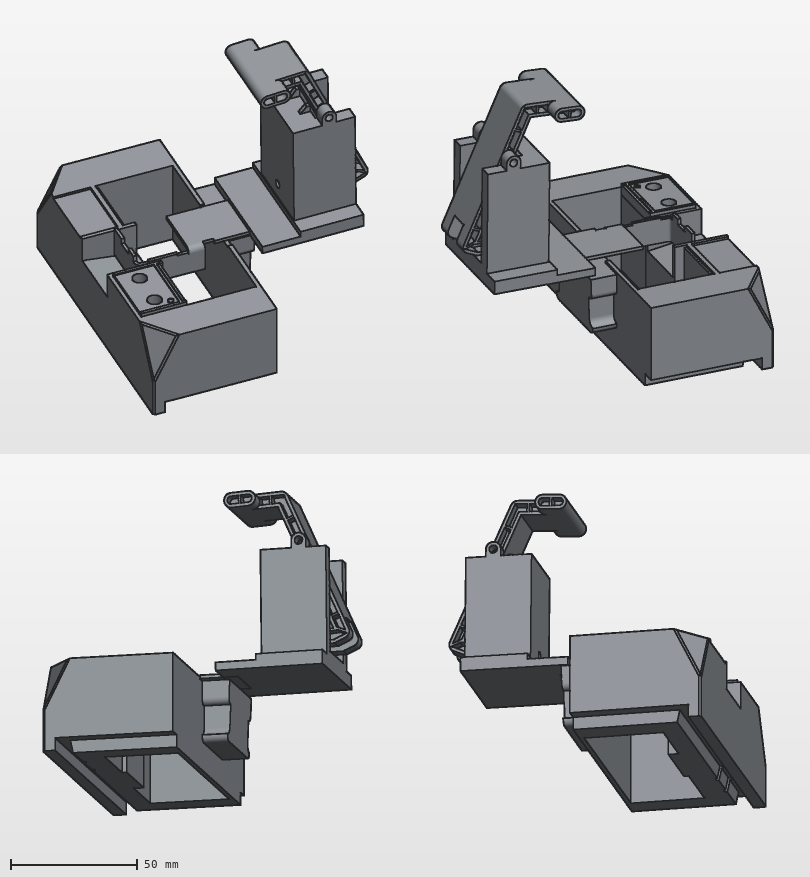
import cadquery as cq
import math


base_length = 118.0
base_depth = 53.1
base_height = 37.0
window_left = -41.7
window_right = 42.6
window_back = base_depth - 1.9
left_block_depth = 19.1
right_block_depth = 21.4
centre_block_depth = 23.2

bevel_along_x = {-1: 14.4, 1: 13.2}
bevel_along_y = 10.5
bevel_along_z = 20.9
corner_chamfer = 0.8
bevel_edge_chamfer = 0.6

foot_height = 5.1
front_wall = 5.1
foot_front = 9.9
foot_taper = 1.1
foot_side_inset = 5.9

notch_half_width = 12.4
notch_wall = 1.8
notch_outer = notch_half_width + notch_wall
notch_lip = 1.8
notch_floor = 26.0
notch_floor_drop = 3.0

seat_floor = 36.1
seat_front = 1.8
empty_seat_depth = 15.9
empty_seat_wall = 2.1
rear_gap_floor = 36.2

connector_left = -25.4
connector_right = 10.6
connector_bottom = 11.7
connector_reach_top = 11.2
connector_reach_bottom = 10.3
connector_waist_inset = 3.2
flange_bottom = 26.8
flange_fillet = 2.5
waist_bottom = 17.6
foot_flare = 3.2
connector_bottom_fillet = 3.0

pad_seat_floor = 33.6
pad_top = 38.6
pad_rim = 1.3
pad_pocket_depth = 0.5
pad_pocket_back = 18.8
pad_ledge_front = 20.1
screw_hole_x = (20.9, 35.9)
screw_hole_y = 10.4
screw_hole_diameter = 3.2
screw_head_diameter = 6.0
mark_x = 38.7
mark_y = 16.2
mark_diameter = 2.5
mark_depth = 0.5

sheet_thickness = 1.4
sheet_top = 38.6
sheet_half_width = 11.0
sheet_front = 35.4
sheet_seat_depth = 5.9
sheet_bend_radius = 2.5
flange_outer = 11.9
flange_back = 42.4
relief_back = 46.8
leg_bottom = 26.5
leg_top = 36.8
leg_tab_start = 18.3
leg_tab_end = 30.6
leg_tab_rise = 0.8
tab_front = 12.9
tab_left = -10.5
tab_right = 8.6
tab_top = 39.5
tab_gap_half_width = 3.4
tab_gap_floor = 37.2

lean_angle = 0.6
plate_half_width = 24.1
plate_front = 61.8
plate_back = 105.4
plate_bottom = 37.0
plate_step = 78.2
plate_thin_top = 40.4
plate_top = 42.7
tower_half_width = 16.5
tower_front = 78.7
tower_top = 86.6
slot_half_width = 10.9
slot_front = 90.6
slot_floor = 44.8
pivot_y = 94.3
pivot_z = 89.6
pivot_boss_diameter = 6.0
pivot_hole_diameter = 3.2
peephole_z = 49.2
peephole_diameter = 2.5
peephole_mouth_diameter = 3.5
peephole_mouth_depth = 1.2
stop_x = 5.3
stop_thickness = 1.9
stop_back = 90.5
stop_crest = 1.5
stop_length = 4.4
stop_heights = {-stop_x: 3.8, stop_x: 2.8}

lever_half_width = 10.5
limb_angle = 23.6
limb_thickness = 5.5
limb_length = 43.0
heel_radius = 2.8
arm_angle = 3.0
arm_thickness = 6.0
elbow_radius = 3.1
grip_half_width = 17.9
grip_front_y = 67.5
grip_front_z = 107.1
grip_spacing = 6.7
lever_foot_bottom = 48.3
lever_foot_top = 54.3
lever_foot_front = 99.1
lever_wall = 1.4
lever_rib = 1.0
lever_pocket_depth = 4.7
upper_rib = 11.6
lower_rib = 32.5
arm_rib_from_grip = 14.2
heel_notch_half_width = 4.4
heel_notch_top = 59.7


def box(x_range, y_range, z_range):
    """Box between two limits along each axis."""
    size = [high - low for low, high in (x_range, y_range, z_range)]
    corner = (x_range[0], y_range[0], z_range[0])
    return cq.Workplane(cq.Solid.makeBox(*size, cq.Vector(*corner)))


def vertical_cylinder(x, y, diameter, z_range):
    """Upright cylinder between two heights."""
    height = z_range[1] - z_range[0]
    return cq.Workplane("XY", origin=(x, y, z_range[0])).circle(diameter / 2).extrude(height)


def side_prism(points, x_range):
    """Prism along X with an outline given in (Y, Z)."""
    length = x_range[1] - x_range[0]
    return cq.Workplane("YZ", origin=(x_range[0], 0, 0)).polyline(points).close().extrude(length)


def meet(point_a, direction_a, point_b, direction_b):
    """Intersection of two lines in the (Y, Z) plane."""
    cross = direction_a[0] * direction_b[1] - direction_a[1] * direction_b[0]
    gap = (point_b[0] - point_a[0], point_b[1] - point_a[1])
    travel = (gap[0] * direction_b[1] - gap[1] * direction_b[0]) / cross
    return (point_a[0] + travel * direction_a[0], point_a[1] + travel * direction_a[1])


def lean(body):
    """Tilt a body forward about the lower front edge of the plate."""
    return body.rotate((0, plate_front, plate_bottom), (1, plate_front, plate_bottom), lean_angle)


def corner_wedge(side):
    """Tetrahedron that bevels one upper front corner; side is -1 or +1."""
    x = side * base_length / 2
    tip = cq.Vector(x, 0, base_height)
    along_x = cq.Vector(x - side * bevel_along_x[side], 0, base_height)
    along_y = cq.Vector(x, bevel_along_y, base_height)
    along_z = cq.Vector(x, 0, base_height - bevel_along_z)
    triangles = [
        (tip, along_x, along_y),
        (tip, along_y, along_z),
        (tip, along_z, along_x),
        (along_x, along_z, along_y),
    ]
    faces = [cq.Face.makeFromWires(cq.Wire.makePolygon(list(t), close=True)) for t in triangles]
    return cq.Workplane(cq.Solid.makeSolid(cq.Shell.makeShell(faces)))


def make_base_block():
    half = base_length / 2
    block = box((-half, half), (0, base_depth), (0, base_height))
    for side in (-1, 1):
        block = block.cut(corner_wedge(side))
    block = block.edges("|Z and <Y").chamfer(corner_chamfer)
    for side in (-1, 1):
        bevel_centre = (
            side * (half - bevel_along_x[side] / 3),
            bevel_along_y / 3,
            base_height - bevel_along_z / 3,
        )
        block = block.faces(cq.NearestToPointSelector(bevel_centre)).edges().chamfer(bevel_edge_chamfer)
    return block


def cut_rail_groove(block):
    half = base_length / 2
    block = block.cut(box((-half, half), (front_wall, base_depth), (0, foot_height)))
    foot_outline = [
        (foot_front + foot_taper, 0),
        (foot_front, foot_height),
        (base_depth, foot_height),
        (base_depth, 0),
    ]
    return block.union(side_prism(foot_outline, (-half + foot_side_inset, half - foot_side_inset)))


def cut_window(block):
    full_height = (0, base_height)
    areas = [
        ((window_left, -notch_outer), left_block_depth),
        ((-notch_outer, notch_outer), centre_block_depth),
        ((notch_outer, window_right), right_block_depth),
    ]
    for x_range, front in areas:
        block = block.cut(box(x_range, (front, window_back), full_height))
    rear_gap = box((-notch_outer, notch_outer), (window_back, base_depth), (rear_gap_floor, base_height))
    return block.cut(rear_gap)


def cut_front_notch(block):
    outline = [
        (0, notch_floor),
        (notch_lip, notch_floor),
        (centre_block_depth, notch_floor - notch_floor_drop),
        (centre_block_depth, base_height),
        (0, base_height),
    ]
    return block.cut(side_prism(outline, (-notch_half_width, notch_half_width)))


def cut_seats(block):
    seat_height = (seat_floor, base_height)
    wall_back = empty_seat_depth + empty_seat_wall
    empty_seat = box((window_left, -notch_outer), (0, empty_seat_depth), seat_height)
    rear_ledge = box((window_left, -notch_outer), (wall_back, left_block_depth), seat_height)
    pad_seat_y = (seat_front, right_block_depth)
    pad_seat = box((notch_outer, window_right), pad_seat_y, (pad_seat_floor, base_height))
    block = block.cut(empty_seat).cut(rear_ledge).cut(pad_seat)
    for x in screw_hole_x:
        block = block.cut(vertical_cylinder(x, screw_hole_y, screw_hole_diameter, (0, base_height)))
    return block


def make_connector():
    waist_left = connector_left + connector_waist_inset
    waist_right = connector_right - connector_waist_inset
    flare_bottom = waist_bottom - foot_flare
    flange_edge = flange_bottom + flange_fillet
    bottom_left = connector_left + connector_bottom_fillet
    bottom_right = connector_right - connector_bottom_fillet
    flat_left = connector_left + flange_fillet
    flat_right = connector_right - flange_fillet
    bend = math.sqrt(0.5)

    def arc_middle(centre_x, centre_z, radius, x_sign, z_sign):
        return (centre_x + x_sign * radius * bend, centre_z + z_sign * radius * bend)

    profile = (
        cq.Workplane("XZ", origin=(0, base_depth, 0))
        .moveTo(connector_left, rear_gap_floor)
        .lineTo(connector_left, flange_edge)
        .threePointArc(arc_middle(flat_left, flange_edge, flange_fillet, -1, -1), (flat_left, flange_bottom))
        .lineTo(waist_left, flange_bottom)
        .lineTo(waist_left, waist_bottom)
        .threePointArc(
            arc_middle(connector_left, waist_bottom, foot_flare, 1, -1), (connector_left, flare_bottom)
        )
        .threePointArc(
            arc_middle(bottom_left, flare_bottom, connector_bottom_fillet, -1, -1),
            (bottom_left, connector_bottom),
        )
        .lineTo(bottom_right, connector_bottom)
        .threePointArc(
            arc_middle(bottom_right, flare_bottom, connector_bottom_fillet, 1, -1),
            (connector_right, flare_bottom),
        )
        .threePointArc(
            arc_middle(connector_right, waist_bottom, foot_flare, -1, -1), (waist_right, waist_bottom)
        )
        .lineTo(waist_right, flange_bottom)
        .lineTo(flat_right, flange_bottom)
        .threePointArc(
            arc_middle(flat_right, flange_edge, flange_fillet, 1, -1), (connector_right, flange_edge)
        )
        .lineTo(connector_right, rear_gap_floor)
        .close()
        .extrude(-connector_reach_top)
    )
    draft_outline = [
        (base_depth, connector_bottom),
        (base_depth + connector_reach_bottom, connector_bottom),
        (base_depth + connector_reach_top, rear_gap_floor),
        (base_depth, rear_gap_floor),
    ]
    return profile.intersect(side_prism(draft_outline, (connector_left, connector_right)))


def make_base():
    block = make_base_block()
    block = cut_rail_groove(block)
    block = cut_window(block)
    block = cut_front_notch(block)
    block = cut_seats(block)
    return block.union(make_connector())


def make_pad():
    pocket_floor = pad_top - pad_pocket_depth
    inner_x = (notch_outer + pad_rim, window_right - pad_rim)
    pad = box((notch_outer, window_right), (seat_front, right_block_depth), (pad_seat_floor, pad_top))
    pad = pad.cut(box(inner_x, (seat_front, pad_pocket_back), (pocket_floor, pad_top)))
    pad = pad.cut(box(inner_x, (pad_ledge_front, right_block_depth), (pocket_floor, pad_top)))
    for x in screw_hole_x:
        pad = pad.cut(vertical_cylinder(x, screw_hole_y, screw_head_diameter, (pad_seat_floor, pad_top)))
    return pad.cut(vertical_cylinder(mark_x, mark_y, mark_diameter, (pocket_floor - mark_depth, pad_top)))


def make_strip():
    sheet_bottom = sheet_top - sheet_thickness
    inner_radius = sheet_bend_radius - sheet_thickness
    flange_inner = flange_outer - sheet_thickness
    bend_start = flange_outer - sheet_bend_radius
    sheet_z = (sheet_bottom, sheet_top)
    sheet_back = plate_front + sheet_seat_depth

    strip = box((-sheet_half_width, sheet_half_width), (relief_back, sheet_back), sheet_z)
    strip = strip.union(box((-sheet_half_width, bend_start), (sheet_front, relief_back), sheet_z))

    section = (
        cq.Workplane("XZ", origin=(0, sheet_front, 0))
        .moveTo(bend_start, sheet_top)
        .radiusArc((flange_outer, sheet_top - sheet_bend_radius), sheet_bend_radius)
        .lineTo(flange_outer, leg_bottom)
        .lineTo(flange_inner, leg_bottom)
        .lineTo(flange_inner, sheet_bottom - inner_radius)
        .radiusArc((bend_start, sheet_bottom), -inner_radius)
        .close()
        .extrude(sheet_front - flange_back)
    )
    strip = strip.union(section)

    bend_y = tab_front + sheet_bend_radius
    leg = (
        cq.Workplane("XY", origin=(0, 0, leg_bottom))
        .moveTo(flange_outer, sheet_front)
        .lineTo(flange_outer, bend_y)
        .radiusArc((bend_start, tab_front), sheet_bend_radius)
        .lineTo(tab_left, tab_front)
        .lineTo(tab_left, tab_front + sheet_thickness)
        .lineTo(bend_start, tab_front + sheet_thickness)
        .radiusArc((flange_inner, bend_y), -inner_radius)
        .lineTo(flange_inner, sheet_front)
        .close()
        .extrude(leg_top - leg_bottom)
    )
    strip = strip.union(leg)
    leg_tab = box(
        (flange_inner, flange_outer), (leg_tab_start, leg_tab_end), (leg_top, leg_top + leg_tab_rise)
    )
    tab_y = (tab_front, tab_front + sheet_thickness)
    teeth = box((tab_left, tab_right), tab_y, (leg_top, tab_top))
    gap = box((-tab_gap_half_width, tab_gap_half_width), tab_y, (tab_gap_floor, tab_top))
    return strip.union(leg_tab).union(teeth.cut(gap))


def make_stop(x, height):
    """Small sloping stop on the tower top, in front of the lever."""
    outline = [
        (stop_back, tower_top),
        (stop_back, tower_top + height),
        (stop_back - stop_crest, tower_top + height),
        (stop_back - stop_length, tower_top),
    ]
    return side_prism(outline, (x - stop_thickness / 2, x + stop_thickness / 2))


def pivot_cylinder(diameter):
    """Cylinder on the lever pivot, as long as the tower is wide."""
    return (
        cq.Workplane("YZ").center(pivot_y, pivot_z).circle(diameter / 2).extrude(tower_half_width, both=True)
    )


def make_tower():
    plate_outline = [
        (plate_front, plate_bottom),
        (plate_back, plate_bottom),
        (plate_back, plate_top),
        (plate_step, plate_top),
        (plate_step, plate_thin_top),
        (plate_front, plate_thin_top),
    ]
    tower_x = (-tower_half_width, tower_half_width)
    boss_radius = pivot_boss_diameter / 2
    tower = side_prism(plate_outline, (-plate_half_width, plate_half_width))
    tower = tower.union(box(tower_x, (tower_front, plate_back), (plate_top, tower_top)))

    boss_neck = box(tower_x, (pivot_y - boss_radius, pivot_y + boss_radius), (tower_top, pivot_z))
    tower = tower.union(boss_neck).union(pivot_cylinder(pivot_boss_diameter))
    slot_top = pivot_z + boss_radius
    slot = box((-slot_half_width, slot_half_width), (slot_front, plate_back), (slot_floor, slot_top))
    tower = tower.cut(slot).cut(pivot_cylinder(pivot_hole_diameter))

    for x, height in stop_heights.items():
        tower = tower.union(make_stop(x, height))

    peephole = cq.Workplane("XZ", origin=(0, tower_front, peephole_z))
    tower = tower.cut(peephole.circle(peephole_diameter / 2).extrude(tower_front - slot_front))
    return tower.cut(peephole.circle(peephole_mouth_diameter / 2).extrude(-peephole_mouth_depth))


limb_down = (math.sin(math.radians(limb_angle)), -math.cos(math.radians(limb_angle)))
limb_back = (-limb_down[1], limb_down[0])
arm_back = (math.cos(math.radians(arm_angle)), math.sin(math.radians(arm_angle)))
arm_up = (-arm_back[1], arm_back[0])


def limb_point(down, back):
    """(Y, Z) of a point given along and across the limb, measured from the pivot."""
    return (
        pivot_y + down * limb_down[0] + back * limb_back[0],
        pivot_z + down * limb_down[1] + back * limb_back[1],
    )


def arm_point(back, up):
    """(Y, Z) of a point given along and across the arm, measured from the front of the grip."""
    return (
        grip_front_y + back * arm_back[0] + up * arm_up[0],
        grip_front_z + back * arm_back[1] + up * arm_up[1],
    )


def elbow_point(limb_offset, arm_offset):
    """Crossing of a line along the limb with a line along the arm."""
    return meet(limb_point(0, limb_offset), limb_down, arm_point(0, arm_offset), arm_back)


def grip_bar(inset, half_width):
    """Rounded bar of the grip, its outline shrunk by an inset."""
    middle = arm_point(grip_spacing / 2, 0)
    diameter = arm_thickness - 2 * inset
    return (
        cq.Workplane("YZ")
        .center(*middle)
        .slot2D(grip_spacing + diameter, diameter, arm_angle)
        .extrude(half_width, both=True)
    )


def make_lever_body():
    half_limb = limb_thickness / 2
    half_arm = arm_thickness / 2
    level = (1, 0)
    heel = limb_point(limb_length, half_limb)
    outline = [
        elbow_point(half_limb, half_arm),
        arm_point(grip_spacing, half_arm),
        arm_point(grip_spacing, -half_arm),
        elbow_point(-half_limb, -half_arm),
        meet(limb_point(0, -half_limb), limb_down, (0, lever_foot_top), level),
        (lever_foot_front, lever_foot_top),
        (lever_foot_front, lever_foot_bottom),
        meet(heel, limb_back, (0, lever_foot_bottom), level),
        heel,
    ]
    body = side_prism(outline, (-lever_half_width, lever_half_width))
    body = body.edges(cq.NearestToPointSelector((0, *outline[0]))).fillet(elbow_radius)
    body = body.edges(cq.NearestToPointSelector((0, *heel))).fillet(heel_radius)
    return body.union(grip_bar(0, grip_half_width))


def lever_pocket_outlines():
    """Outlines of the side pockets, which leave thin walls and ribs."""
    limb_inner = limb_thickness / 2 - lever_wall
    arm_inner = arm_thickness / 2 - lever_wall
    boss_edge = pivot_boss_diameter / 2
    half_rib = lever_rib / 2
    grip_back = grip_spacing + arm_thickness / 2
    foot_pocket_top = lever_foot_top - lever_wall
    foot_pocket_bottom = lever_foot_bottom + lever_wall
    heel_level = limb_length - lever_wall

    def limb_pocket(start, end):
        return [
            limb_point(start, limb_inner),
            limb_point(end, limb_inner),
            limb_point(end, -limb_inner),
            limb_point(start, -limb_inner),
        ]

    below_pivot = limb_pocket(boss_edge, lower_rib - half_rib)
    above_pivot = limb_pocket(half_rib - upper_rib, -boss_edge)
    elbow = [
        limb_point(-upper_rib - half_rib, limb_inner),
        elbow_point(limb_inner, arm_inner),
        arm_point(arm_rib_from_grip + half_rib, arm_inner),
        arm_point(arm_rib_from_grip + half_rib, -arm_inner),
        elbow_point(-limb_inner, -arm_inner),
        limb_point(-upper_rib - half_rib, -limb_inner),
    ]
    arm = [
        arm_point(arm_rib_from_grip - half_rib, arm_inner),
        arm_point(grip_back, arm_inner),
        arm_point(grip_back, -arm_inner),
        arm_point(arm_rib_from_grip - half_rib, -arm_inner),
    ]
    above_heel = [
        limb_point(lower_rib + half_rib, limb_inner),
        limb_point(heel_level - lever_wall, limb_inner),
        limb_point(heel_level - limb_thickness / 2 - lever_wall, -limb_inner),
        limb_point(lower_rib + half_rib, -limb_inner),
    ]
    foot = [
        limb_point(heel_level, limb_inner),
        limb_point(heel_level - limb_thickness / 2, -limb_inner),
        (lever_foot_front + lever_wall, foot_pocket_top),
        (lever_foot_front + lever_wall, foot_pocket_bottom),
        meet(limb_point(heel_level, 0), limb_back, (0, foot_pocket_bottom), (1, 0)),
    ]
    return [below_pivot, above_pivot, elbow, arm, above_heel, foot]


def make_lever():
    lever = make_lever_body()
    inner_face = lever_half_width - lever_pocket_depth
    sides = [(-lever_half_width, -inner_face), (inner_face, lever_half_width)]
    for outline in lever_pocket_outlines():
        for side in sides:
            lever = lever.cut(side_prism(outline, side))

    core = grip_bar(lever_wall, grip_half_width - lever_pocket_depth)
    rib_outline = [
        arm_point(grip_spacing / 2 - lever_rib / 2, -arm_thickness / 2 + lever_wall),
        arm_point(grip_spacing / 2 + lever_rib / 2, -arm_thickness / 2 + lever_wall),
        arm_point(grip_spacing / 2 + lever_rib / 2, arm_thickness / 2 - lever_wall),
        arm_point(grip_spacing / 2 - lever_rib / 2, arm_thickness / 2 - lever_wall),
    ]
    rib = side_prism(rib_outline, (-grip_half_width, grip_half_width))
    lever = lever.cut(grip_bar(lever_wall, grip_half_width).cut(core).cut(rib))

    notch_x = (-heel_notch_half_width, heel_notch_half_width)
    notch_y = (lever_foot_front, limb_point(limb_length, limb_thickness)[0])
    lever = lever.cut(box(notch_x, notch_y, (lever_foot_bottom, heel_notch_top)))
    return lever.cut(pivot_cylinder(pivot_hole_diameter))


base = make_base()
pad = make_pad()
strip = make_strip()
tower = lean(make_tower()).cut(strip)
lever = lean(make_lever())

result = cq.Compound.makeCompound([base.val(), pad.val(), strip.val(), tower.val(), lever.val()])